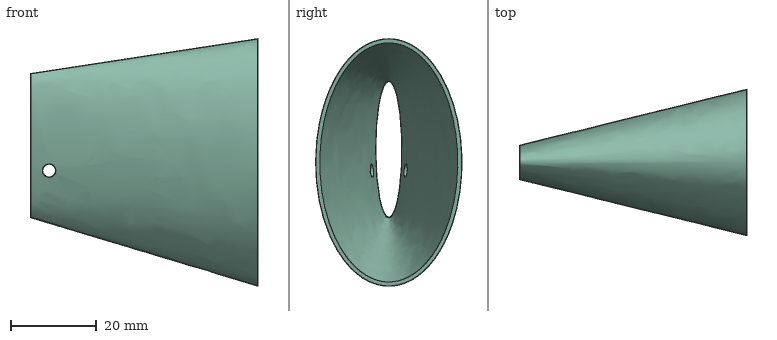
import cadquery as cq

length = 53.0
wide_width = 34.15
wide_height = 57.7
narrow_width = 8.0
narrow_height = 33.55
narrow_rise = 3.9
wall = 1.0
bore_drop = 0.85

hole_diameter = 3.0
hole_from_end = 4.3
hole_height = -1.9


def elliptical_taper(inset, rise):
    """Loft between the two end ellipses, each shrunk by the inset, with the narrow end raised."""
    return (
        cq.Workplane("YZ")
        .center(0, rise)
        .ellipse(narrow_width / 2 - inset, narrow_height / 2 - inset)
        .workplane(offset=length)
        .center(0, -rise)
        .ellipse(wide_width / 2 - inset, wide_height / 2 - inset)
        .loft(ruled=True)
    )


outer_body = elliptical_taper(0, narrow_rise)
bore = elliptical_taper(wall, narrow_rise - bore_drop)
shell = outer_body.cut(bore)

cross_hole = (
    cq.Workplane("XZ")
    .center(hole_from_end, hole_height)
    .circle(hole_diameter / 2)
    .extrude(wide_width / 2, both=True)
)

result = shell.cut(cross_hole)